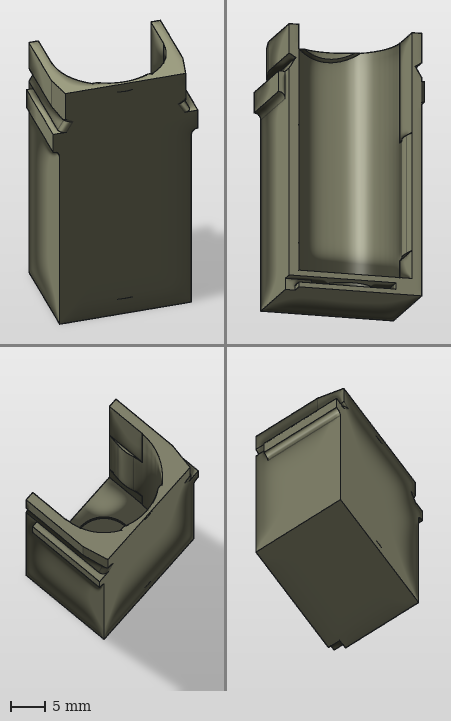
import cadquery as cq
import math

HEIGHT = 39.43
BODY_WIDTH = 20.05
FRONT_X = -6.3
BACK_X = 8.6
HALF_WIDTH = BODY_WIDTH / 2

FLOOR_Z = 2.5
BORE_RADIUS = 8.5
MOUTH_HALF_WIDTH = 8.55

LIP_RADIUS = 8.08
LIP_START_X = 7.1

BULGE_BOTTOM_Z = 6.74
BULGE_TOP_Z = 24.45
BULGE_FLANK_HEIGHT = 0.3
BULGE_PEAK_HEIGHT = 0.42
BULGE_FLANK_LENGTH = 1.9
BULGE_BORE_END_X = -1.5

GROOVE_BOTTOM_Z = 32.77
GROOVE_APEX_Z = 34.4
GROOVE_TOP_Z = 35.0
GROOVE_DEPTH = 1.0
GROOVE_END_RADIUS = 1.0

TAPER_LENGTH = 4.05
TAPER_DEPTH = 0.85

RAIL_PROJECTION = 1.0
RAIL_FRONT_X = FRONT_X + 2.1
RAIL_FACE_BOTTOM_Z = 29.7

POCKET_BOTTOM_Z = 0.72
POCKET_TOP_Z = 1.67
POCKET_HALF_WIDTH = 6.1
POCKET_CORNER_RADIUS = 1.1
SIDE_OPENING_DEPTH = 2.0
WINDOW_DIAMETER = 9.21


def block(x_min, x_max, y_min, y_max, z_min, z_max):
    """Box given by its limits along the three axes."""
    size = (x_max - x_min, y_max - y_min, z_max - z_min)
    return cq.Workplane("XY").box(*size, centered=False).translate((x_min, y_min, z_min))


def cylinder(radius, z_min, z_max):
    """Cylinder on the bore axis."""
    return cq.Workplane("XY").workplane(offset=z_min).circle(radius).extrude(z_max - z_min)


def on_both_sides(shape):
    """The +Y shape together with its mirror image on the -Y side."""
    return shape.union(shape.mirror("XZ"))


def make_lip_wedge():
    """Region above the 45 degree plane that rises from the back wall to the top rim."""
    reach = BACK_X - LIP_START_X
    return (
        cq.Workplane("XZ", origin=(LIP_START_X, HALF_WIDTH, HEIGHT))
        .polyline([(0, 0), (reach, 0), (reach, -reach)])
        .close()
        .extrude(BODY_WIDTH)
    )


def make_bulge():
    """Bulge on the +Y mouth wall: a straight flank, a rounded crest, then the bore continued."""
    flank_end_x = FRONT_X + BULGE_FLANK_LENGTH
    crest_x = (flank_end_x + BULGE_BORE_END_X) / 2
    bore_end_y = math.sqrt(BORE_RADIUS**2 - BULGE_BORE_END_X**2)
    bore_middle_x = BULGE_BORE_END_X / 2
    bore_middle_y = math.sqrt(BORE_RADIUS**2 - bore_middle_x**2)
    return (
        cq.Workplane("XY")
        .workplane(offset=BULGE_BOTTOM_Z)
        .moveTo(FRONT_X, MOUTH_HALF_WIDTH)
        .lineTo(flank_end_x, MOUTH_HALF_WIDTH - BULGE_FLANK_HEIGHT)
        .threePointArc((crest_x, MOUTH_HALF_WIDTH - BULGE_PEAK_HEIGHT), (BULGE_BORE_END_X, bore_end_y))
        .threePointArc((bore_middle_x, bore_middle_y), (0, BORE_RADIUS))
        .lineTo(0, HALF_WIDTH)
        .lineTo(FRONT_X, HALF_WIDTH)
        .close()
        .extrude(BULGE_TOP_Z - BULGE_BOTTOM_Z)
    )


def make_cavity():
    """Bore and mouth, less the lip and the bulges."""
    bore = cylinder(BORE_RADIUS, FLOOR_Z, HEIGHT).cut(make_lip_wedge())
    lip_bore = cylinder(LIP_RADIUS, FLOOR_Z, HEIGHT)
    mouth = block(FRONT_X, 0, -MOUTH_HALF_WIDTH, MOUTH_HALF_WIDTH, FLOOR_Z, HEIGHT)
    return bore.union(lip_bore).union(mouth).cut(on_both_sides(make_bulge()))


def make_groove_section(wall_y, z):
    """Level section of the groove cut: all that lies outside wall_y, rounded into the back face."""
    bend_x = BACK_X - GROOVE_END_RADIUS
    arc_middle_x = bend_x + GROOVE_END_RADIUS * math.sin(math.pi / 4)
    arc_middle_y = wall_y - GROOVE_END_RADIUS * (1 - math.cos(math.pi / 4))
    outer_y = HALF_WIDTH + RAIL_PROJECTION
    section = (
        cq.Workplane("XY")
        .workplane(offset=z)
        .moveTo(FRONT_X, wall_y)
        .lineTo(bend_x, wall_y)
        .threePointArc((arc_middle_x, arc_middle_y), (BACK_X, wall_y - GROOVE_END_RADIUS))
        .lineTo(BACK_X, outer_y)
        .lineTo(FRONT_X, outer_y)
        .close()
    )
    return section.val()


def make_groove():
    """V groove along the +Y side, its walls rounded into the back face."""
    bottom = make_groove_section(HALF_WIDTH, GROOVE_BOTTOM_Z)
    apex = make_groove_section(HALF_WIDTH - GROOVE_DEPTH, GROOVE_APEX_Z)
    top = make_groove_section(HALF_WIDTH, GROOVE_TOP_Z)
    lower_half = cq.Workplane(cq.Solid.makeLoft([bottom, apex], True))
    upper_half = cq.Workplane(cq.Solid.makeLoft([apex, top], True))
    return lower_half.union(upper_half)


def make_taper():
    """Wedge removed from the +Y side above the groove, deepest at the back."""
    return (
        cq.Workplane("XY", origin=(BACK_X, HALF_WIDTH, GROOVE_APEX_Z))
        .polyline([(-TAPER_LENGTH, 0), (0, 0), (0, -TAPER_DEPTH)])
        .close()
        .extrude(HEIGHT - GROOVE_APEX_Z)
    )


def make_rail():
    """Rail on the +Y side whose underside is a quarter-round fillet into the wall."""
    outer_y = HALF_WIDTH + RAIL_PROJECTION
    rail = block(RAIL_FRONT_X, BACK_X, HALF_WIDTH, outer_y,
                 RAIL_FACE_BOTTOM_Z - RAIL_PROJECTION, GROOVE_BOTTOM_Z)
    hollow = (
        cq.Workplane("YZ", origin=(RAIL_FRONT_X, outer_y, RAIL_FACE_BOTTOM_Z - RAIL_PROJECTION))
        .circle(RAIL_PROJECTION)
        .extrude(BACK_X - RAIL_FRONT_X)
    )
    return rail.cut(hollow)


def make_floor_pocket():
    """Pocket in the floor, open to -X and to the +Y side, with a round window above it."""
    pocket = block(FRONT_X, POCKET_HALF_WIDTH, -POCKET_HALF_WIDTH, POCKET_HALF_WIDTH,
                   POCKET_BOTTOM_Z, POCKET_TOP_Z)
    pocket = pocket.edges("|Z and >X").fillet(POCKET_CORNER_RADIUS)
    opening_end_x = FRONT_X + SIDE_OPENING_DEPTH
    side_opening = block(FRONT_X, opening_end_x, 0, HALF_WIDTH, POCKET_BOTTOM_Z, POCKET_TOP_Z)
    corner_notch = block(FRONT_X, opening_end_x, MOUTH_HALF_WIDTH, HALF_WIDTH, 0, POCKET_TOP_Z)
    window = cylinder(WINDOW_DIAMETER / 2, POCKET_BOTTOM_Z, FLOOR_Z)
    return pocket.union(side_opening).union(corner_notch).union(window)


body = block(FRONT_X, BACK_X, -HALF_WIDTH, HALF_WIDTH, 0, HEIGHT)
body = body.cut(make_cavity())
body = body.cut(on_both_sides(make_groove()))
body = body.cut(on_both_sides(make_taper()))
body = body.cut(make_floor_pocket())
result = body.union(on_both_sides(make_rail()))